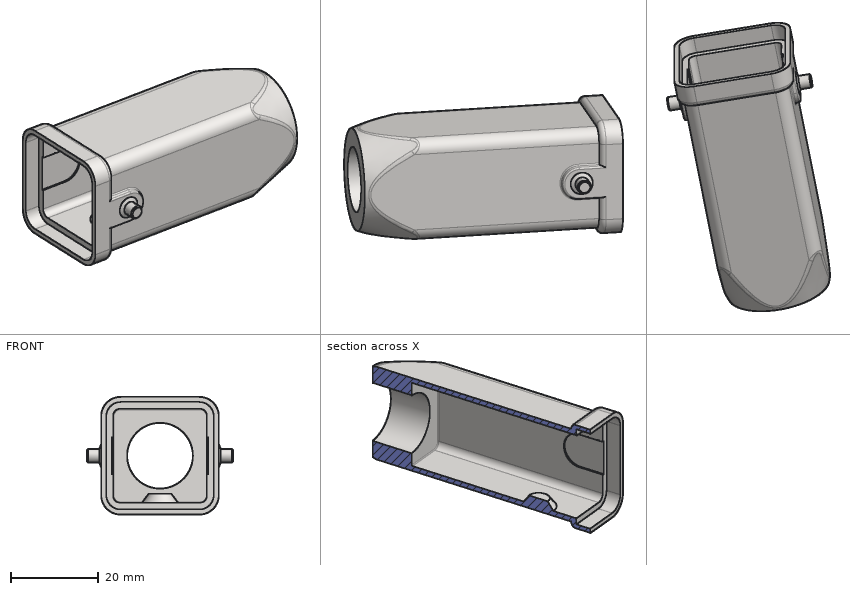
import cadquery as cq
import math

hood_length = 60.0

body_width = 24.3
body_corner_radius = 3.1
collar_width = 27.0
collar_corner_radius = 4.5
collar_length = 5.35
collar_step = (collar_width - body_width) / 2
collar_fillet = 1.3

mouth_width = 24.6
mouth_corner_radius = 3.3
mouth_depth = 3.8
cavity_width = 21.5
cavity_corner_radius = 1.6
cavity_floor_fillet = 0.2
end_wall = 10.8
cable_bore_diameter = 15.0

cone_end_radius = 11.8
cone_corner_length = 12.55
cone_edge_fillet = 1.5

lug_width = 8.05
lug_center_y = 10.25
lug_draft_angle = 10
lug_edge_fillet = 0.4
lug_root_fillet = 0.3
root_search_margin = 0.05
pin_y = 9.65
pin_diameter = 3.2
pin_span = 33.4
pin_chamfer = 0.3
pin_foot_diameter = 5.15
pin_foot_height = 0.4

wall_pocket_width = 8.5
wall_pocket_depth = 0.35

boss_y = 14.3
boss_base_radius = 4.15
boss_top_radius = 2.6
boss_height = 2.05


def square_bar(width, corner_radius, start_y, length):
    """Square bar along +Y with rounded long edges."""
    bar = cq.Workplane("XZ", origin=(0, start_y, 0)).rect(width, width).extrude(-length)
    return bar.edges("|Y").fillet(corner_radius)


def round_end_tongue(side, inner_x, depth, width, taper=0):
    """Tongue on one side (-1 or +1), from the mouth to a round end about the lug center."""
    radius = width / 2
    outline = (
        cq.Workplane("YZ", origin=(side * inner_x, 0, 0))
        .moveTo(0, -radius)
        .lineTo(lug_center_y, -radius)
        .threePointArc((lug_center_y + radius, 0), (lug_center_y, radius))
        .lineTo(0, radius)
        .close()
    )
    return outline.extrude(side * depth, taper=taper)


def tapered_body():
    """Square body whose far end is trimmed by a cone around Y."""
    corner_reach = (body_width / 2 - body_corner_radius) * math.sqrt(2) + body_corner_radius
    slope = (corner_reach - cone_end_radius) / cone_corner_length
    mouth_radius = cone_end_radius + slope * hood_length
    cone = (
        cq.Workplane("ZY")
        .polyline([(0, 0), (mouth_radius, 0), (cone_end_radius, hood_length), (0, hood_length)])
        .close()
        .revolve(360, (0, 0, 0), (0, 1, 0))
    )
    body = square_bar(body_width, body_corner_radius, 0, hood_length).intersect(cone)
    return body.faces("%CONE").edges("not (>Y or %LINE)").fillet(cone_edge_fillet)


def collar():
    bar = square_bar(collar_width, collar_corner_radius, 0, collar_length)
    return bar.faces(">Y").edges().fillet(collar_fillet)


def lug(side):
    """Side lug flush with the collar, with drafted walls and a rounded outer edge."""
    tongue = round_end_tongue(side, body_width / 2, collar_step, lug_width, lug_draft_angle)
    outer_face = tongue.faces(">X" if side > 0 else "<X")
    return outer_face.edges("not <Y").fillet(lug_edge_fillet)


def pin(side):
    """Locking pin with a tapered foot, standing on the lug."""
    lug_face = cq.Workplane("YZ", origin=(side * collar_width / 2, pin_y, 0))
    pin_length = (pin_span - collar_width) / 2
    tip = ">X" if side > 0 else "<X"
    post = lug_face.circle(pin_diameter / 2).extrude(side * pin_length)
    post = post.faces(tip).chamfer(pin_chamfer)
    foot = (
        lug_face.circle(pin_foot_diameter / 2)
        .workplane(offset=side * pin_foot_height)
        .circle(pin_diameter / 2)
        .loft()
    )
    return post.union(foot)


def interior():
    """Everything removed from the inside of the hood."""
    cavity = square_bar(cavity_width, cavity_corner_radius, 0, hood_length - end_wall)
    cavity = cavity.faces(">Y").edges().fillet(cavity_floor_fillet)
    mouth = square_bar(mouth_width, mouth_corner_radius, 0, mouth_depth)
    bore = cq.Workplane("XZ").circle(cable_bore_diameter / 2).extrude(-hood_length)
    space = cavity.union(mouth).union(bore)
    pocket_x = cavity_width / 2 + wall_pocket_depth
    for side in (-1, 1):
        space = space.union(round_end_tongue(side, 0, pocket_x, wall_pocket_width))
    return space


def floor_boss():
    return (
        cq.Workplane("XY", origin=(0, boss_y, -cavity_width / 2))
        .circle(boss_base_radius)
        .workplane(offset=boss_height)
        .circle(boss_top_radius)
        .loft()
    )


def body_with_lugs():
    """Body with both lugs, rounded where the lug walls meet the flat sides."""
    body = tapered_body()
    for side in (-1, 1):
        body = body.union(lug(side))
    reach_y = lug_center_y + lug_width
    for side in (-1, 1):
        near_root = cq.selectors.BoxSelector(
            (side * body_width / 2 - root_search_margin, -root_search_margin, -lug_width),
            (side * body_width / 2 + root_search_margin, reach_y, lug_width),
            boundingbox=True,
        )
        body = body.edges(near_root).edges("not <Y").fillet(lug_root_fillet)
    return body


result = body_with_lugs().union(collar())
for side in (-1, 1):
    result = result.union(pin(side))
result = result.cut(interior()).union(floor_boss())